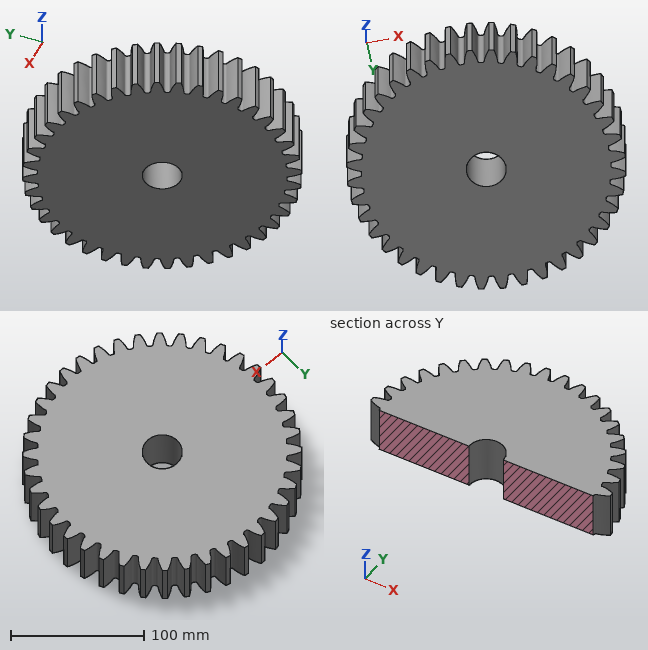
import cadquery as cq
import math

MODULE = 5.0
TEETH = 40
PRESSURE_ANGLE = math.radians(20)
FACE_WIDTH = 40.0
BORE_DIAMETER = 30.0

ADDENDUM_FACTOR = 1.0
DEDENDUM_FACTOR = 1.25
ROOT_FILLET_FACTOR = 0.38

FLANK_STEPS = 8

pitch_radius = MODULE * TEETH / 2
base_radius = pitch_radius * math.cos(PRESSURE_ANGLE)
tip_radius = pitch_radius + ADDENDUM_FACTOR * MODULE
root_radius = pitch_radius - DEDENDUM_FACTOR * MODULE
root_fillet = ROOT_FILLET_FACTOR * MODULE

tooth_pitch = 2 * math.pi / TEETH
first_tooth_angle = tooth_pitch / 2

base_half_angle = tooth_pitch / 4 + math.tan(PRESSURE_ANGLE) - PRESSURE_ANGLE

fillet_centre_radius = root_radius + root_fillet
fillet_centre_length = math.sqrt(fillet_centre_radius**2 - base_radius**2)
flank_start_roll = (fillet_centre_length - root_fillet) / base_radius
flank_end_roll = math.sqrt((tip_radius / base_radius) ** 2 - 1)


def polar(radius, angle):
    return (radius * math.cos(angle), radius * math.sin(angle))


def flank_polar(roll):
    """Radius of an involute point, and its angle from the tooth centreline."""
    radius = base_radius * math.sqrt(1 + roll**2)
    return radius, base_half_angle - (roll - math.atan(roll))


def fillet_centre_angle():
    """Angle of the root fillet's centre from the tooth centreline."""
    string_angle = math.atan(fillet_centre_length / base_radius)
    return base_half_angle - flank_start_roll + string_angle


def fillet_middle(side, centre_angle, tooth_angle):
    """Point halfway along the root fillet on one side of a tooth."""
    centre_x, centre_y = polar(fillet_centre_radius, tooth_angle + side * centre_angle)
    start_radius, start_angle = flank_polar(flank_start_roll)
    flank_x, flank_y = polar(start_radius, tooth_angle + side * start_angle)
    root_x, root_y = polar(root_radius, tooth_angle + side * centre_angle)
    along_x = flank_x + root_x - 2 * centre_x
    along_y = flank_y + root_y - 2 * centre_y
    scale = root_fillet / math.hypot(along_x, along_y)
    return (centre_x + scale * along_x, centre_y + scale * along_y)


def flank_points(side, tooth_angle):
    """Involute points from the root fillet up to the tip."""
    points = []
    for step in range(FLANK_STEPS + 1):
        roll = flank_start_roll + (flank_end_roll - flank_start_roll) * step / FLANK_STEPS
        radius, angle = flank_polar(roll)
        points.append(polar(radius, tooth_angle + side * angle))
    return points


def add_tooth(outline, tooth_angle):
    """Extend the outline counter-clockwise by one tooth and the root land after it."""
    centre_angle = fillet_centre_angle()
    rising = flank_points(-1, tooth_angle)
    falling = flank_points(1, tooth_angle)[::-1]
    land_start = polar(root_radius, tooth_angle + centre_angle)
    land_middle = polar(root_radius, tooth_angle + tooth_pitch / 2)
    land_end = polar(root_radius, tooth_angle + tooth_pitch - centre_angle)

    outline = outline.threePointArc(fillet_middle(-1, centre_angle, tooth_angle), rising[0])
    outline = outline.spline(rising[1:], includeCurrent=True)
    outline = outline.threePointArc(polar(tip_radius, tooth_angle), falling[0])
    outline = outline.spline(falling[1:], includeCurrent=True)
    outline = outline.threePointArc(fillet_middle(1, centre_angle, tooth_angle), land_start)
    return outline.threePointArc(land_middle, land_end)


def gear_blank():
    """Toothed disc standing on the XY plane."""
    start = polar(root_radius, first_tooth_angle - fillet_centre_angle())
    outline = cq.Workplane("XY").moveTo(*start)
    for index in range(TEETH):
        outline = add_tooth(outline, first_tooth_angle + index * tooth_pitch)
    return outline.close().extrude(FACE_WIDTH)


def bore():
    return cq.Workplane("XY").circle(BORE_DIAMETER / 2).extrude(FACE_WIDTH)


result = gear_blank().cut(bore())